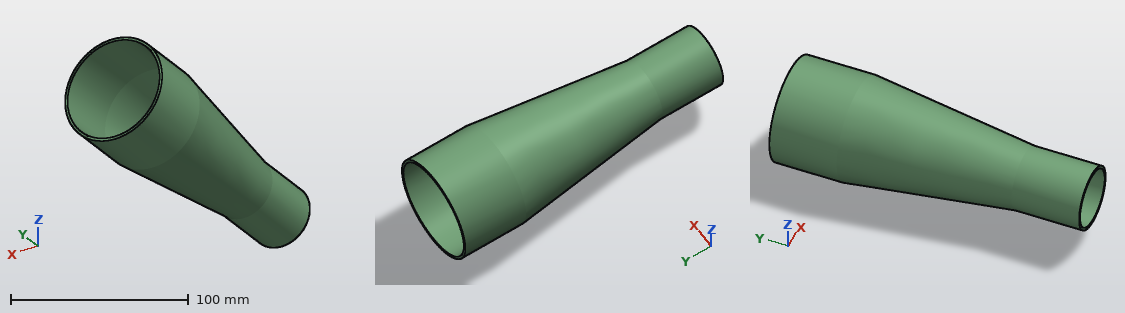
import cadquery as cq

large_diameter = 63.5
small_diameter = 38.1
wall = 1.65
straight_length = 41.275
cone_length = 101.6

cone_start = straight_length
cone_end = cone_start + cone_length
total_length = cone_end + straight_length


def reducer_body(small_radius, large_radius):
    """Solid of revolution about Y: small cylinder, cone, large cylinder."""
    return (
        cq.Workplane("XY")
        .moveTo(0, 0)
        .lineTo(small_radius, 0)
        .lineTo(small_radius, cone_start)
        .lineTo(large_radius, cone_end)
        .lineTo(large_radius, total_length)
        .lineTo(0, total_length)
        .close()
        .revolve(360, (0, 0, 0), (0, 1, 0))
    )


outside = reducer_body(small_diameter / 2, large_diameter / 2)
bore = reducer_body(small_diameter / 2 - wall, large_diameter / 2 - wall)

result = outside.cut(bore)